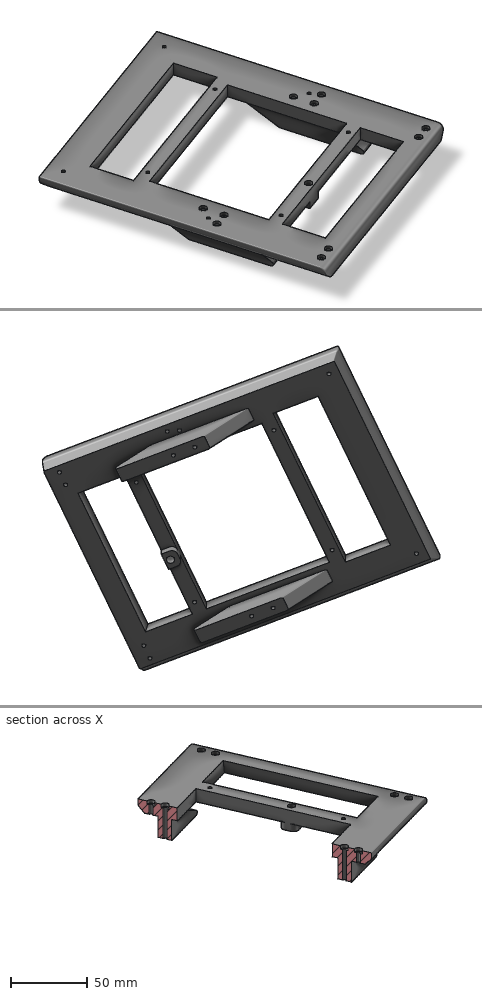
import cadquery as cq
import math


length = 212.5
width = 170.0
thickness = 10.0
edge_radius = 0.8
bottom_chamfer = 5.0
bevel_radius = 4.0
end_slope = 10.0
end_radius = 4.7

end_overhang = thickness * math.tan(math.radians(end_slope))

slot_left = 25.0
slot_right = 57.1
slot_width = 120.2
window_left = 67.0
window_right = 196.3
window_width = 112.1
bar_left = 154.6
bar_width = 10.0

small_diameter = 2.5
head_diameter = 5.3
head_depth = 2.5
rail_hole_x = (12.0, 118.5)
rail_hole_y = 72.6
bar_hole_x = (61.5, 159.7)
bar_hole_y = 48.5
screw_inner_y = 65.0
screw_outer_y = 75.2
screw_x = (110.9, 126.2, 203.0)

leg_height = 15.7
leg_thickness = 10.2
leg_left = 70.5
leg_length = 69.5
leg_slope = 26.6
leg_tip_radius = 2.0
leg_edge_radius = 0.8

boss_width = 12.3
boss_height = 5.7
boss_radius = 4.0
boss_y = -10.5
guide_x = 160.5
guide_diameter = 5.3


def round_edge(body, middle, radius):
    """Fillet the edge whose midpoint is nearest to the given point."""
    return body.edges(cq.selectors.NearestToPointSelector(middle)).fillet(radius)


def make_plate():
    """Bevelled plate, the common volume of its lengthwise and crosswise sections."""
    lengthwise = (
        cq.Workplane("XZ")
        .moveTo(bottom_chamfer, 0)
        .lineTo(length, 0)
        .lineTo(length - end_overhang, thickness)
        .lineTo(0, thickness)
        .lineTo(0, bottom_chamfer)
        .close()
        .extrude(width / 2, both=True)
    )
    lengthwise = round_edge(lengthwise, (length - end_overhang, 0, thickness), end_radius)
    lengthwise = round_edge(lengthwise, (0, 0, bottom_chamfer), bevel_radius)

    half = width / 2
    crosswise = (
        cq.Workplane("YZ")
        .moveTo(bottom_chamfer - half, 0)
        .lineTo(half - bottom_chamfer, 0)
        .lineTo(half, bottom_chamfer)
        .lineTo(half, thickness)
        .lineTo(-half, thickness)
        .lineTo(-half, bottom_chamfer)
        .close()
        .extrude(length)
    )
    for side in (-half, half):
        crosswise = round_edge(crosswise, (length / 2, side, bottom_chamfer), bevel_radius)
    plate = lengthwise.intersect(crosswise)
    return plate.edges("|Z or (>Z and (|X or <X))").fillet(edge_radius)


def opening(left, right, opening_width, overhang=0.0):
    """Cutter through the plate, centred on Y = 0; overhang shifts the right wall at the bottom."""
    return (
        cq.Workplane("XZ")
        .moveTo(left, 0)
        .lineTo(right + overhang, 0)
        .lineTo(right, thickness)
        .lineTo(left, thickness)
        .close()
        .extrude(opening_width / 2, both=True)
    )


def make_leg(inner_y):
    """Slanted leg with a rounded tip, reaching from inner_y towards +Y."""
    run = leg_height / math.tan(math.radians(leg_slope))
    leg = (
        cq.Workplane("XZ", origin=(0, inner_y, 0))
        .moveTo(leg_left, 0)
        .lineTo(leg_left + leg_length, 0)
        .lineTo(leg_left + leg_length + run, -leg_height)
        .lineTo(leg_left + run, -leg_height)
        .close()
        .extrude(-leg_thickness)
    )
    leg = leg.edges("|Y").edges(">X").fillet(leg_tip_radius)
    for side_y in (inner_y, inner_y + leg_thickness):
        slope_middle = (leg_left + run / 2, side_y, -leg_height / 2)
        leg = round_edge(leg, slope_middle, leg_edge_radius)
    return leg


def make_boss():
    """Guide boss, rounded on its left corners."""
    return (
        cq.Workplane("XY")
        .box(bar_width, boss_width, boss_height, centered=(False, True, False))
        .edges("|Z and <X")
        .fillet(boss_radius)
        .translate((bar_left, boss_y, -boss_height))
    )


frame = make_plate()
frame = frame.cut(opening(slot_left, slot_right, slot_width))
frame = frame.cut(opening(window_left, bar_left, window_width))
frame = frame.cut(opening(bar_left + bar_width, window_right, window_width, end_overhang))

leg_inner_y = slot_width / 2
frame = frame.union(make_leg(leg_inner_y))
frame = frame.union(make_leg(-leg_inner_y - leg_thickness))
frame = frame.union(make_boss())

small_holes = []
screw_holes = []
for side in (-1, 1):
    small_holes += [(x, side * rail_hole_y) for x in rail_hole_x]
    small_holes += [(x, side * bar_hole_y) for x in bar_hole_x]
    screw_holes += [(x, side * screw_inner_y) for x in screw_x]
    screw_holes += [(x, side * screw_outer_y) for x in screw_x[1:]]

leg_depth = thickness + leg_height
boss_depth = thickness + boss_height
top = cq.Workplane("XY", origin=(0, 0, thickness))
frame = frame.cut(top.pushPoints(small_holes + screw_holes).circle(small_diameter / 2).extrude(-leg_depth))
frame = frame.cut(top.pushPoints(screw_holes).circle(head_diameter / 2).extrude(-head_depth))
frame = frame.cut(top.center(guide_x, boss_y).circle(guide_diameter / 2).extrude(-boss_depth))

result = frame